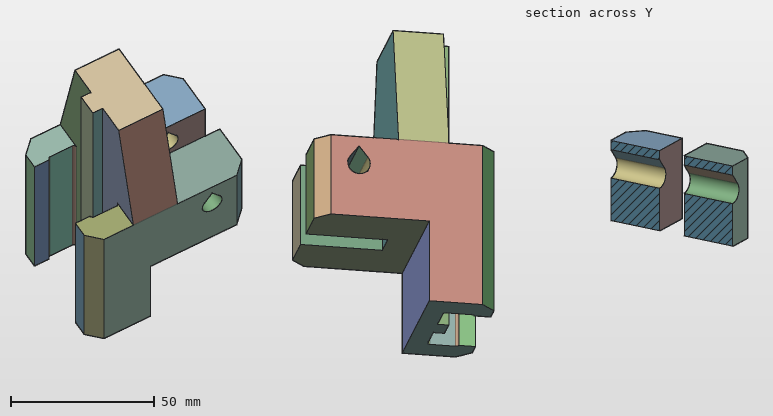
import cadquery as cq
import math

width = 50.2
depth = 64.0
height = 105.0
body_height = 60.0
corner_chamfer = 5.0

foot_depth = 24.0
step_height = 30.0

channel_width = 30.0
channel_depth = 17.0
lip_gap = 28.0
lip_depth = 6.0
channel_fillet = 1.0
rail_width = 8.0
rail_front = 13.0

tower_top_width = 30.0
tower_back = 35.0

slot_width = 10.0

hole_diameter = 8.0
hole_from_back = 15.0
hole_below_top = 10.0
hole_tip_rise = 6.4


def box(x_size, y_start, y_end, z_start, z_end):
    """Block centred on X between the given Y and Z limits."""
    return cq.Workplane("XY").box(
        x_size, y_end - y_start, z_end - z_start, centered=(True, False, False)
    ).translate((0, y_start, z_start))


def make_body():
    body = box(width, 0, depth, 0, body_height).edges("|Z").chamfer(corner_chamfer)
    step = box(width, foot_depth, depth, 0, step_height)
    slot = box(slot_width, tower_back, depth, 0, body_height)
    return body.cut(step).cut(slot)


def make_tower():
    return (
        cq.Workplane("XZ", origin=(0, channel_depth, 0))
        .moveTo(-width / 2, body_height)
        .lineTo(width / 2, body_height)
        .lineTo(tower_top_width / 2, height)
        .lineTo(-tower_top_width / 2, height)
        .close()
        .extrude(channel_depth - tower_back)
    )


def make_channel():
    mouth = box(lip_gap, 0, channel_depth / 2, 0, body_height)
    pocket = box(channel_width, lip_depth, channel_depth, 0, body_height)
    return mouth.union(pocket.edges("|Z").fillet(channel_fillet))


def make_teardrop():
    radius = hole_diameter / 2
    tangent_rise = radius**2 / hole_tip_rise
    tangent_half_width = math.sqrt(radius**2 - tangent_rise**2)
    hole_y = depth - hole_from_back
    hole_z = body_height - hole_below_top
    return (
        cq.Workplane("YZ", origin=(-width / 2, hole_y, hole_z))
        .moveTo(0, hole_tip_rise)
        .lineTo(-tangent_half_width, tangent_rise)
        .threePointArc((0, -radius), (tangent_half_width, tangent_rise))
        .close()
        .extrude(width)
    )


rail = box(rail_width, rail_front, channel_depth, 0, height)

result = (
    make_body()
    .cut(make_channel())
    .cut(make_teardrop())
    .union(make_tower())
    .union(rail)
)